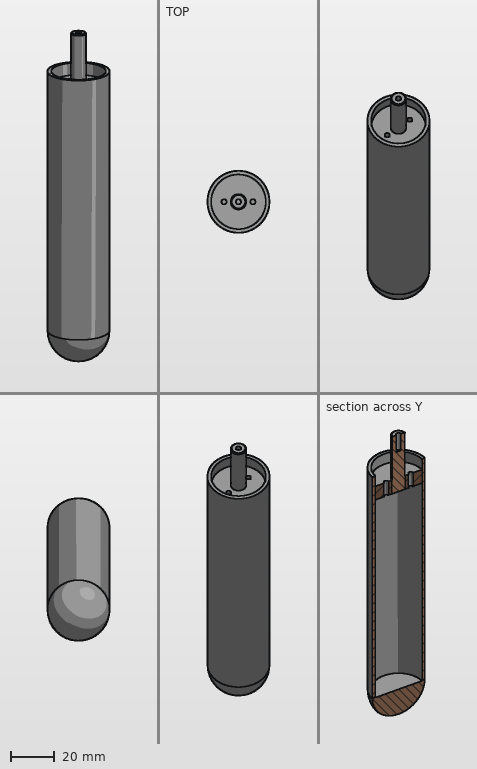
import cadquery as cq

total_length = 157.3
tube_diameter = 28.5
tube_bore = 25.0

rod_diameter = 7.1
rod_stand_out = 18.5
rod_chamfer = 0.5
rod_hole_diameter = 2.4
rod_hole_depth = 9.5

plate_recess = 5.8
plate_thickness = 7.9
plate_hole_diameter = 2.4
plate_hole_offset = 6.6

dome_radius = tube_diameter / 2
tube_bottom = dome_radius
tube_top = total_length - rod_stand_out
plate_top = tube_top - plate_recess
plate_bottom = plate_top - plate_thickness


def cylinder(diameter, bottom, top):
    """Upright cylinder on the Z axis between two heights."""
    return cq.Workplane("XY").workplane(offset=bottom).circle(diameter / 2).extrude(top - bottom)


def make_tube():
    """Plain tube, open at both ends."""
    outside = cylinder(tube_diameter, tube_bottom, tube_top)
    return outside.cut(cylinder(tube_bore, tube_bottom, tube_top))


def make_dome():
    """Solid hemisphere closing the lower end of the tube."""
    ball = cq.Workplane("XY").sphere(dome_radius).translate((0, 0, tube_bottom))
    return ball.intersect(cylinder(tube_diameter, 0, tube_bottom))


def make_plate():
    """Disc filling the bore, with a central hole for the rod and two small through holes."""
    plate = cylinder(tube_bore, plate_bottom, plate_top)
    plate = plate.cut(cylinder(rod_diameter, plate_bottom, plate_top))
    small_hole = cylinder(plate_hole_diameter, plate_bottom, plate_top)
    for side in (-1, 1):
        plate = plate.cut(small_hole.translate((side * plate_hole_offset, 0, 0)))
    return plate


def make_rod():
    """Rod through the plate, chamfered at the top and with a blind hole in its end."""
    rod = cylinder(rod_diameter, plate_bottom, total_length)
    rod = rod.faces(">Z").chamfer(rod_chamfer)
    return rod.cut(cylinder(rod_hole_diameter, total_length - rod_hole_depth, total_length))


tube = make_tube()
dome = make_dome()
plate = make_plate()
rod = make_rod()

result = cq.Compound.makeCompound([tube.val(), dome.val(), plate.val(), rod.val()])